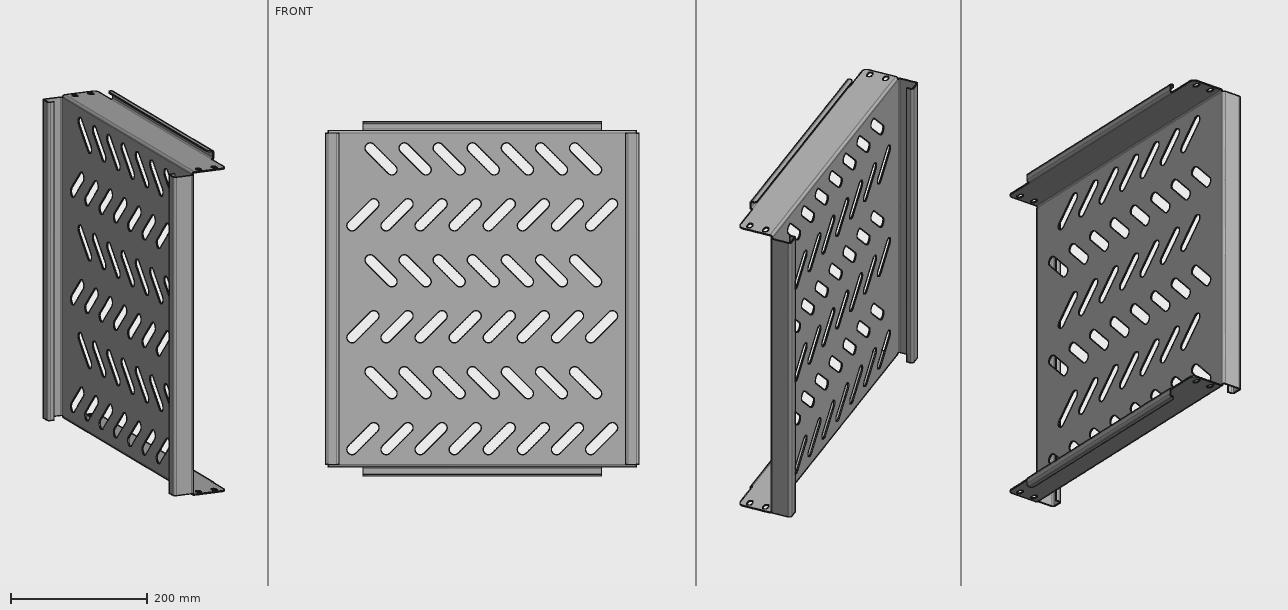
import cadquery as cq
import math

WIDTH = 460.0
DEPTH = 90.0
HEIGHT = 520.0

SHEET = 2.0
BEND_RADIUS = 4.0
INNER_RADIUS = BEND_RADIUS - SHEET

CHANNEL_DEPTH = 33.0
CHANNEL_FLANGE = 20.5
CHANNEL_LIP = 10.0

HOOK_HEIGHT = 15.0
HOOK_WIDTH = 350.0
HOOK_LIP = 10.0
HOOK_CORNER = 5.0
WALL_CORNER = 7.5

MOUNT_LENGTH = 12.5
MOUNT_WIDTH = 7.5
MOUNT_X = 216.0
MOUNT_FIRST = 18.0
MOUNT_PITCH = 25.5

VENT_SPAN = 47.0
VENT_WIDTH = 15.0
VENT_ANGLE = 45
VENT_FIELD_X = 350.0
VENT_FIELD_Z = 410.5
LONG_ROW = 8
SHORT_ROW = LONG_ROW - 1
VENT_ROWS = 6
SHORT_ROW_SHIFT = 1.5

REAR = DEPTH / 2
FRONT = -DEPTH / 2
PANEL_FRONT = FRONT + CHANNEL_DEPTH - SHEET
PANEL_REAR = PANEL_FRONT + SHEET
SIDE = WIDTH / 2
TOP = HEIGHT / 2
WALL_TOP = TOP - HOOK_HEIGHT + SHEET
WALL_REAR = REAR - BEND_RADIUS
PANEL_HALF_X = SIDE - BEND_RADIUS
PANEL_HALF_Z = WALL_TOP - BEND_RADIUS
VENT_PITCH = VENT_FIELD_X / (LONG_ROW - 1)
VENT_ROW_PITCH = VENT_FIELD_Z / (VENT_ROWS - 1)


def block(x_range, y_range, z_range):
    """Box between the given limits along each axis."""
    (x0, x1), (y0, y1), (z0, z1) = x_range, y_range, z_range
    return cq.Workplane("XY").box(x1 - x0, y1 - y0, z1 - z0, centered=False).translate((x0, y0, z0))


def folded_tube(x_range, y_range, z_range, axis):
    """Rectangular sheet tube along the axis, with rounded bends, to be trimmed into a fold."""
    outer = block(x_range, y_range, z_range).edges("|" + axis).fillet(BEND_RADIUS)
    limits = dict(zip("XYZ", (x_range, y_range, z_range)))
    for across in "XYZ".replace(axis, ""):
        low, high = limits[across]
        limits[across] = (low + SHEET, high - SHEET)
    inner = block(limits["X"], limits["Y"], limits["Z"]).edges("|" + axis).fillet(INNER_RADIUS)
    return outer.cut(inner)


def with_mirror(body, plane):
    return body.union(body.mirror(plane))


def panel():
    plate = block(
        (-PANEL_HALF_X, PANEL_HALF_X),
        (PANEL_FRONT, PANEL_REAR),
        (-PANEL_HALF_Z, PANEL_HALF_Z),
    )
    length = (VENT_SPAN - VENT_WIDTH) / math.cos(math.radians(VENT_ANGLE)) + VENT_WIDTH
    for row in range(VENT_ROWS):
        z = row * VENT_ROW_PITCH - VENT_FIELD_Z / 2
        if row % 2 == 0:
            x, count, angle = 0, LONG_ROW, VENT_ANGLE
        else:
            x, count, angle = SHORT_ROW_SHIFT, SHORT_ROW, -VENT_ANGLE
        vents = (
            cq.Workplane("XZ", origin=(x, PANEL_REAR, z))
            .rarray(VENT_PITCH, 5, count, 1)
            .slot2D(length, VENT_WIDTH, angle)
            .extrude(SHEET)
        )
        plate = plate.cut(vents)
    return plate


def right_channel():
    z_range = (-PANEL_HALF_Z, PANEL_HALF_Z)
    inner_x = SIDE - CHANNEL_FLANGE
    tube = folded_tube((inner_x, SIDE), (FRONT, PANEL_REAR), z_range, "Z")
    opening = block((inner_x, PANEL_HALF_X), (FRONT + CHANNEL_LIP, PANEL_REAR), z_range)
    return tube.cut(opening)


def wall_bend():
    x_range = (-PANEL_HALF_X, PANEL_HALF_X)
    tube = folded_tube(x_range, (PANEL_FRONT, REAR), (0, WALL_TOP), "X")
    corner = block(x_range, (PANEL_FRONT, PANEL_FRONT + BEND_RADIUS), (PANEL_HALF_Z, WALL_TOP))
    return tube.intersect(corner)


def wall_plate():
    plate = block(
        (-PANEL_HALF_X, PANEL_HALF_X),
        (PANEL_FRONT + BEND_RADIUS, WALL_REAR),
        (WALL_TOP - SHEET, WALL_TOP),
    )
    plate = plate.edges("|Z and >Y").fillet(WALL_CORNER)
    first_y = REAR - MOUNT_FIRST
    places = [(x, y) for x in (-MOUNT_X, MOUNT_X) for y in (first_y, first_y - MOUNT_PITCH)]
    mounts = (
        cq.Workplane("XY", origin=(0, 0, WALL_TOP - SHEET))
        .pushPoints(places)
        .slot2D(MOUNT_LENGTH, MOUNT_WIDTH)
        .extrude(SHEET)
    )
    return plate.cut(mounts)


def hook():
    x_range = (-HOOK_WIDTH / 2, HOOK_WIDTH / 2)
    z_range = (WALL_TOP - SHEET, TOP)
    lip_edge = REAR - HOOK_LIP
    tube = folded_tube(x_range, (PANEL_REAR, REAR), z_range, "X")
    bent = tube.cut(block(x_range, (PANEL_REAR, lip_edge), z_range))
    lip = block(x_range, (lip_edge, REAR), (TOP - SHEET, TOP))
    rounded_lip = lip.edges("|Z and <Y").fillet(HOOK_CORNER)
    below_lip = block(x_range, (lip_edge, REAR), (WALL_TOP - SHEET, TOP - SHEET))
    return bent.intersect(rounded_lip.union(below_lip))


channels = with_mirror(right_channel(), "YZ")
top_wall = wall_bend().union(wall_plate()).union(hook())
end_walls = with_mirror(top_wall, "XY")

result = panel().union(channels).union(end_walls)